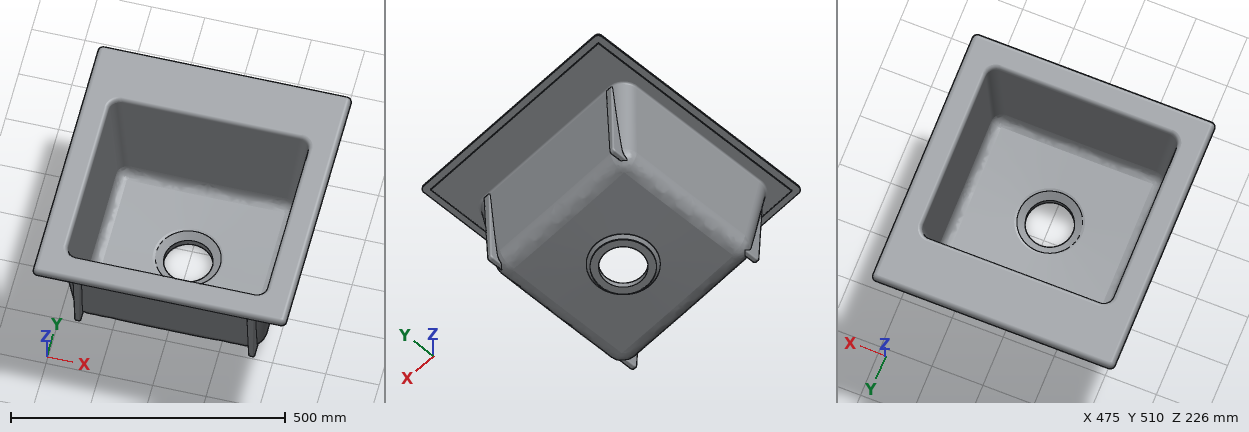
import cadquery as cq
import math

rim_width = 475.0
rim_length = 510.0
rim_thickness = 11.0
rim_corner_radius = 10.0
rim_edge_radius = 9.0

pad_inset = 14.0
pad_thickness = 3.0

bowl_center_y = -30.0
mouth_width = 375.0
mouth_length = 350.0
mouth_radius = 8.0
wall_draft = 6.3
cavity_corner_radius = 20.0
floor_radius_relief = 0.5
wall_thickness = 14.0
outer_root_radius = 4.0

floor_edge_z = -213.8
floor_slope = 1.5
floor_cone_radius = 300.0
floor_reference_radius = 180.0

overall_height = 226.0
drain_hole_diameter = 90.0
funnel_diameter = 120.0
funnel_depth = 9.0
funnel_lip_diameter = 129.0
funnel_lip_depth = 1.0
boss_top_diameter = 135.0
boss_bottom_diameter = 121.0
boss_height = 8.0
boss_collar_height = 3.0
boss_root_height = 6.0

blade_offset_x = 163.0
blade_top_thickness = 17.0
blade_bottom_thickness = 11.0
blade_edge_radius = 3.0
blade_tip_radius = 7.0
blade_top_half_length = 188.5
blade_bottom_half_length = 182.0
blade_bottom_z = -205.0

selection_margin = 1.0

pad_bottom_z = -(rim_thickness + pad_thickness)
floor_gradient = math.tan(math.radians(floor_slope))


def floor_cone(raise_by):
    """Solid filling everything above a conical floor, up to Z = 0."""
    apex_z = floor_edge_z - floor_reference_radius * floor_gradient + raise_by
    edge_z = apex_z + floor_cone_radius * floor_gradient
    profile = (
        cq.Workplane("XZ")
        .moveTo(0, 0)
        .lineTo(0, apex_z)
        .lineTo(floor_cone_radius, edge_z)
        .lineTo(floor_cone_radius, 0)
        .close()
    )
    return profile.revolve(360, (0, 0, 0), (0, 1, 0)).translate((0, bowl_center_y, 0))


def tapered_bowl(offset):
    """Drafted bowl solid from Z = 0 to the floor, grown outwards by an offset."""
    corner_radius = cavity_corner_radius + offset
    walls = (
        cq.Workplane("XY")
        .center(0, bowl_center_y)
        .rect(mouth_width + 2 * offset, mouth_length + 2 * offset)
        .extrude(-overall_height, taper=wall_draft)
        .edges("not(|X or |Y)")
        .fillet(corner_radius)
    )
    bowl = walls.intersect(floor_cone(wall_thickness - offset))
    return bowl.faces("<Z").edges().fillet(corner_radius - floor_radius_relief)


def rim():
    plate = (
        cq.Workplane("XY")
        .rect(rim_width, rim_length)
        .extrude(-rim_thickness)
        .edges("|Z")
        .fillet(rim_corner_radius)
        .faces(">Z")
        .edges()
        .fillet(rim_edge_radius)
    )
    pad = (
        cq.Workplane("XY", origin=(0, 0, -rim_thickness))
        .rect(rim_width - 2 * pad_inset, rim_length - 2 * pad_inset)
        .extrude(-pad_thickness)
    )
    return plate.union(pad)


def bowl_edges_at(z, offset):
    """Selector for the bowl edges near a level Z, for a bowl grown by an offset."""
    half_width = mouth_width / 2 + offset + selection_margin
    half_length = mouth_length / 2 + offset + selection_margin
    return cq.selectors.BoxSelector(
        (-half_width, bowl_center_y - half_length, z - selection_margin),
        (half_width, bowl_center_y + half_length, z + selection_margin),
    )


def rim_with_bowl():
    """Rim joined to the outer bowl, with the joint under the pad rounded."""
    joined = rim().union(tapered_bowl(wall_thickness))
    joint_edges = bowl_edges_at(pad_bottom_z, wall_thickness)
    return joined.edges(joint_edges).fillet(outer_root_radius)


def blade(x):
    """Tapered blade crossing the bowl from front to back, at a given X."""
    side_profile = [
        (-blade_top_half_length, pad_bottom_z),
        (-blade_bottom_half_length, blade_bottom_z),
        (blade_bottom_half_length, blade_bottom_z),
        (blade_top_half_length, pad_bottom_z),
    ]
    end_profile = [
        (-blade_top_thickness / 2, pad_bottom_z),
        (-blade_bottom_thickness / 2, blade_bottom_z),
        (blade_bottom_thickness / 2, blade_bottom_z),
        (blade_top_thickness / 2, pad_bottom_z),
    ]
    lengthwise = cq.Workplane("YZ").polyline(side_profile).close()
    crosswise = cq.Workplane("XZ").polyline(end_profile).close()
    body = lengthwise.extrude(blade_top_thickness / 2, both=True).intersect(
        crosswise.extrude(blade_top_half_length, both=True)
    )
    rounded = body.faces("<Z").edges("|X").fillet(blade_tip_radius)
    rounded = rounded.faces("<X or >X").edges("not >Z").fillet(blade_edge_radius)
    return rounded.translate((x, bowl_center_y, 0))


def revolved_on_drain(profile):
    """Revolve (radius, Z) points about the drain axis."""
    solid = cq.Workplane("XZ").polyline(profile).close().revolve(360, (0, 0, 0), (0, 1, 0))
    return solid.translate((0, bowl_center_y, 0))


def drain_boss():
    taper_top_z = boss_height - overall_height
    return revolved_on_drain([
        (0, -overall_height),
        (boss_bottom_diameter / 2, -overall_height),
        (boss_bottom_diameter / 2, boss_collar_height - overall_height),
        (boss_top_diameter / 2, taper_top_z),
        (boss_top_diameter / 2, taper_top_z + boss_root_height),
        (0, taper_top_z + boss_root_height),
    ])


def drain_opening():
    """Shallow lip, conical funnel and straight hole through the floor."""
    hole_radius = drain_hole_diameter / 2
    lip_radius = funnel_lip_diameter / 2
    lip_z = floor_edge_z + wall_thickness - (floor_reference_radius - lip_radius) * floor_gradient
    funnel_z = lip_z - funnel_lip_depth
    return revolved_on_drain([
        (0, -overall_height),
        (hole_radius, -overall_height),
        (hole_radius, funnel_z - funnel_depth),
        (funnel_diameter / 2, funnel_z),
        (lip_radius, lip_z),
        (0, lip_z),
    ])


result = rim_with_bowl()
for side in (-1, 1):
    result = result.union(blade(side * blade_offset_x))
result = result.union(drain_boss()).cut(tapered_bowl(0)).cut(drain_opening())

result = result.edges(bowl_edges_at(0, 0)).fillet(mouth_radius)